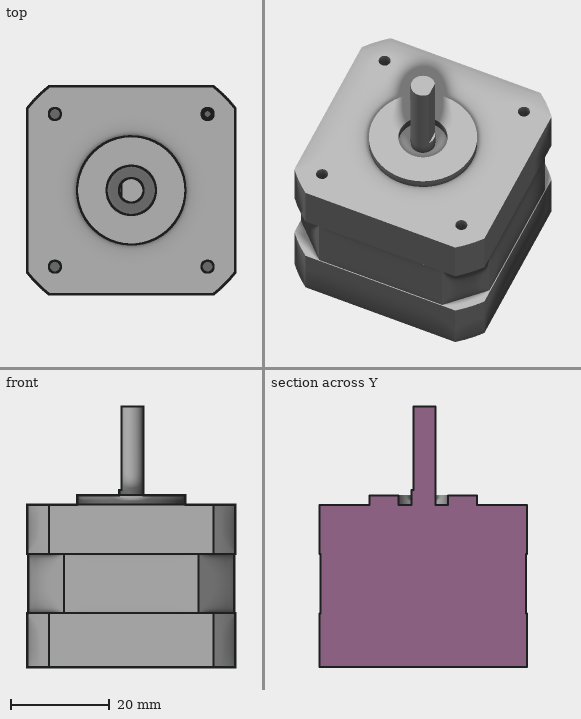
import cadquery as cq

PLATE_WIDTH = 42.3
PLATE_CORNER_DIAMETER = 53.85
BOTTOM_PLATE_HEIGHT = 11.0
TOP_PLATE_HEIGHT = 10.0

CORE_WIDTH = 41.9
CORE_CHAMFER = 7.25
CORE_HEIGHT = 12.0

BOSS_DIAMETER = 22.0
BOSS_HEIGHT = 1.95
RECESS_DIAMETER = 10.0
RECESS_DEPTH = BOSS_HEIGHT

OVERALL_HEIGHT = 53.0
SHAFT_DIAMETER = 5.0
FLAT_DEPTH = 0.5
FLAT_LENGTH = 16.95

HOLE_SPACING = 31.0
HOLE_DIAMETER = 2.45
HOLE_DEPTH = 4.5
TAPER_END_DIAMETER = 1.65
TAPER_DEPTH = 0.4

core_base = BOTTOM_PLATE_HEIGHT
core_top = core_base + CORE_HEIGHT
plate_top = core_top + TOP_PLATE_HEIGHT
boss_top = plate_top + BOSS_HEIGHT
recess_floor = boss_top - RECESS_DEPTH


def cylinder(diameter, base, top):
    return cq.Workplane("XY").workplane(offset=base).circle(diameter / 2).extrude(top - base)


def square_block(width, base, top):
    return cq.Workplane("XY").workplane(offset=base).rect(width, width).extrude(top - base)


def end_plate(base, top):
    return square_block(PLATE_WIDTH, base, top).intersect(cylinder(PLATE_CORNER_DIAMETER, base, top))


def shaft():
    flat_cutter = cq.Workplane("XY").box(
        FLAT_DEPTH, SHAFT_DIAMETER, FLAT_LENGTH, centered=(False, True, False)
    ).translate((-SHAFT_DIAMETER / 2, 0, OVERALL_HEIGHT - FLAT_LENGTH))
    return cylinder(SHAFT_DIAMETER, recess_floor, OVERALL_HEIGHT).cut(flat_cutter)


def mounting_hole(x_side, y_side):
    hole = cylinder(HOLE_DIAMETER, plate_top - HOLE_DEPTH, plate_top)
    return hole.translate((x_side * HOLE_SPACING / 2, y_side * HOLE_SPACING / 2, 0))


def tapered_hole():
    taper_base = plate_top - HOLE_DEPTH
    profile = [
        (0, taper_base),
        (TAPER_END_DIAMETER / 2, taper_base),
        (HOLE_DIAMETER / 2, taper_base + TAPER_DEPTH),
        (HOLE_DIAMETER / 2, plate_top),
        (0, plate_top),
    ]
    hole = cq.Workplane("XZ").polyline(profile).close().revolve(360, (0, 0), (0, 1))
    return hole.translate((HOLE_SPACING / 2, HOLE_SPACING / 2, 0))


core = square_block(CORE_WIDTH, core_base, core_top).edges("|Z").chamfer(CORE_CHAMFER)

result = (
    end_plate(0, core_base)
    .union(core)
    .union(end_plate(core_top, plate_top))
    .union(cylinder(BOSS_DIAMETER, plate_top, boss_top))
    .cut(cylinder(RECESS_DIAMETER, recess_floor, boss_top))
    .union(shaft())
)
for x_side, y_side in [(-1, -1), (-1, 1), (1, -1)]:
    result = result.cut(mounting_hole(x_side, y_side))
result = result.cut(tapered_hole())